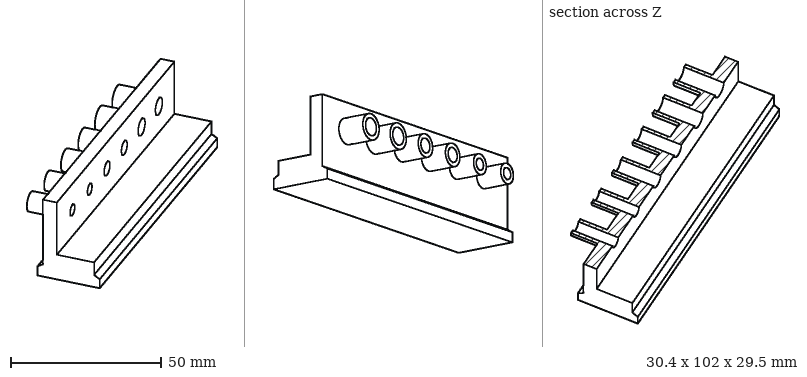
import cadquery as cq

length = 102.0
height = 29.5
foot_width = 22.4
foot_side_height = 3.5
foot_inset = 2.0
foot_bevel_height = 1.2
base_height = 9.5
wall_thickness = 5.0

tube_length = 10.0
tube_axis_below_top = 10.0
tube_pitch = 15.0
tube_sizes = [(9.0, 6.0), (9.0, 6.0), (8.0, 5.0), (8.0, 5.0), (7.0, 4.0), (7.0, 4.0)]

foot_x = foot_width / 2
body_x = foot_x - foot_inset
wall_front_x = -body_x
wall_back_x = wall_front_x + wall_thickness
bevel_top_z = foot_side_height + foot_bevel_height
tube_axis_z = height - tube_axis_below_top


def make_rail():
    """L-shaped bar standing on a wider foot with bevelled shoulders."""
    outline = [
        (-foot_x, 0),
        (foot_x, 0),
        (foot_x, foot_side_height),
        (body_x, bevel_top_z),
        (body_x, base_height),
        (wall_back_x, base_height),
        (wall_back_x, height),
        (wall_front_x, height),
        (wall_front_x, bevel_top_z),
        (-foot_x, foot_side_height),
    ]
    return cq.Workplane("XZ").polyline(outline).close().extrude(length / 2, both=True)


def x_cylinder(diameter, end_x, y):
    """Cylinder on a tube axis, from the free tube end to end_x."""
    start_x = wall_front_x - tube_length
    return (
        cq.Workplane("YZ", origin=(start_x, y, tube_axis_z))
        .circle(diameter / 2)
        .extrude(end_x - start_x)
    )


result = make_rail()
first_tube_y = tube_pitch * (len(tube_sizes) - 1) / 2
for index, (outer_diameter, bore_diameter) in enumerate(tube_sizes):
    tube_y = first_tube_y - index * tube_pitch
    tube = x_cylinder(outer_diameter, wall_front_x + wall_thickness / 2, tube_y)
    bore = x_cylinder(bore_diameter, wall_back_x, tube_y)
    result = result.union(tube).cut(bore)